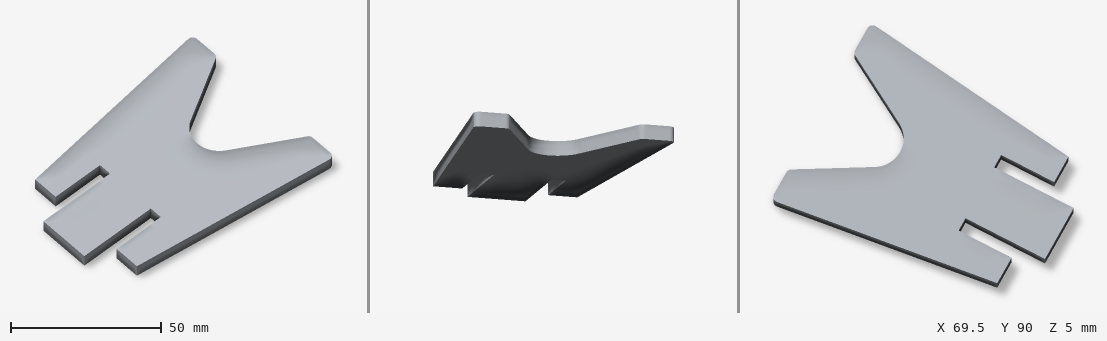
import cadquery as cq
import math

length = 90.0
thickness = 5.0
top_width = 70.0
shoulder_width = 50.0
corner_radius = 2.0

tab_width = 20.2
tab_overhang = 10.0
slot_width = 4.9
slot_depth = 20.0

notch_depth = 30.0
notch_radius = 10.0
notch_half_angle = math.radians(30)

half_top = top_width / 2
half_shoulder = shoulder_width / 2
half_tab = tab_width / 2
slot_outer = half_tab + slot_width

shoulder_y = tab_overhang
slot_top_y = shoulder_y + slot_depth
notch_bottom_y = length - notch_depth

notch_center_y = notch_bottom_y + notch_radius
tangent_x = notch_radius * math.cos(notch_half_angle)
tangent_y = notch_center_y - notch_radius * math.sin(notch_half_angle)
notch_half_mouth = tangent_x + (length - tangent_y) * math.tan(notch_half_angle)

right_side = [
    (half_tab, 0),
    (half_tab, slot_top_y),
    (slot_outer, slot_top_y),
    (slot_outer, shoulder_y),
    (half_shoulder, shoulder_y),
    (half_top, length),
    (notch_half_mouth, length),
    (tangent_x, tangent_y),
]
left_side = [(-x, y) for x, y in reversed(right_side)]

plate = (
    cq.Workplane("XY")
    .polyline(right_side)
    .threePointArc((0, notch_bottom_y), left_side[0])
    .polyline(left_side[1:], includeCurrent=True)
    .close()
    .extrude(thickness)
)

prong_corners = plate.faces(">Y").edges("|Z")
result = prong_corners.fillet(corner_radius)